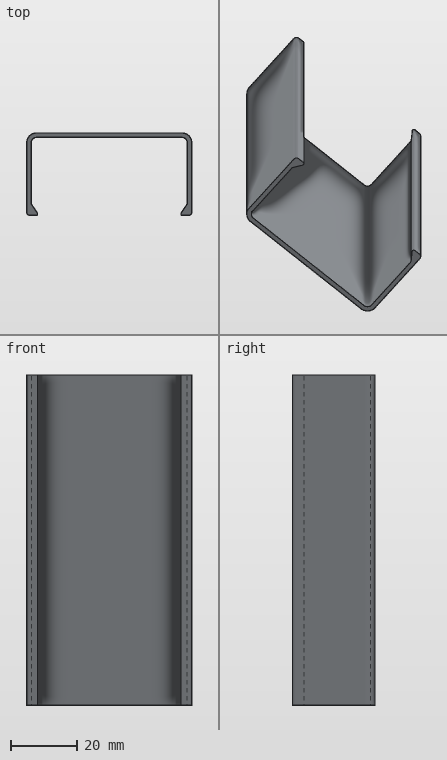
import cadquery as cq

width = 50.0
depth = 25.0
length = 100.0

wall = 1.4
outer_bend_radius = 3.0
inner_bend_radius = outer_bend_radius - wall

lip_reach = 3.8
lip_ramp_height = 3.5
lip_outer_radius = 1.0
lip_nose_radius = 0.5

half_width = width / 2
front = -depth / 2
inner_half_width = half_width - wall
nose_x = half_width - lip_reach


def make_channel():
    """U-shaped channel open toward -Y, with rounded bends."""
    outer = (
        cq.Workplane("XY")
        .box(width, depth, length)
        .edges("|Z and >Y")
        .fillet(outer_bend_radius)
    )
    cavity = (
        cq.Workplane("XY")
        .box(2 * inner_half_width, depth, length)
        .edges("|Z and >Y")
        .fillet(inner_bend_radius)
        .translate((0, -wall, 0))
    )
    return outer.cut(cavity)


def make_lip(side):
    """Wedge-shaped lip with a rounded nose on one side wall; side is -1 or +1."""
    nose_edge = "|Z and >X" if side < 0 else "|Z and <X"
    outline = [
        (side * half_width, front),
        (side * nose_x, front),
        (side * inner_half_width, front + lip_ramp_height),
        (side * half_width, front + lip_ramp_height),
    ]
    return (
        cq.Workplane("XY")
        .workplane(offset=-length / 2)
        .polyline(outline)
        .close()
        .extrude(length)
        .edges(nose_edge)
        .fillet(lip_nose_radius)
    )


def round_outer_corners(body):
    """Round the outer corner at the free edge of each side wall."""
    free_edges = body.faces("<Y").edges("|Z")
    return free_edges.edges("<X or >X").fillet(lip_outer_radius)


channel = make_channel()
for side in (-1, 1):
    channel = channel.union(make_lip(side))
result = round_outer_corners(channel.clean())